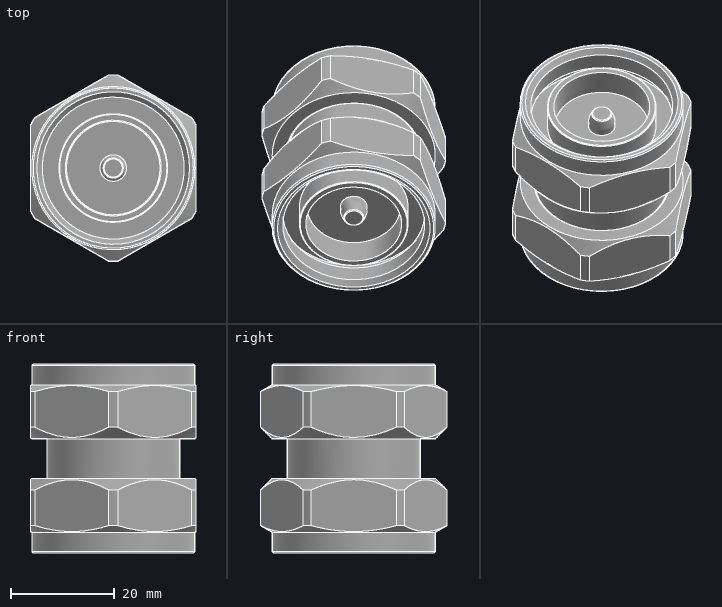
import cadquery as cq
import math

half_length = 18.25

across_flats = 32.0
corner_diameter = 36.0
collar_radius = 15.73
collar_length = 4.0
collar_chamfer = 0.3
nut_inner_z = 3.8
outer_bevel_angle = 30.0
inner_bevel_angle = 45.0

neck_radius = 12.85
countersink_size = 0.25

socket_radius = 13.7
mouth_radius = 14.7
mouth_depth = mouth_radius - socket_radius
undercut_radius = 14.7
undercut_depth = 4.55
floor_depth = 6.57

sleeve_radius = 10.48
sleeve_chamfer = 0.15
sleeve_top_depth = 1.28
sleeve_mouth_radius = 9.25
sleeve_bore_radius = 9.0
sleeve_taper_end_depth = 5.2

pin_radius = 2.55
pin_tip_radius = 1.75
pin_tip_chamfer = 0.2
pin_top_depth = 3.1
pin_nose_end_depth = 5.2
pin_nose_curve_radius = 5.1


def revolve(profile):
    """Turn a closed (radius, z) profile drawn in the XZ plane about Z."""
    return profile.close().revolve(360, (0, 0, 0), (0, 1, 0))


def make_nut():
    hex_top = half_length - collar_length
    hex_height = hex_top - nut_inner_z
    corner_radius = corner_diameter / 2
    bevel_width = corner_radius - collar_radius
    outer_bevel = bevel_width * math.tan(math.radians(outer_bevel_angle))
    inner_bevel = bevel_width * math.tan(math.radians(inner_bevel_angle))

    hexagon = (
        cq.Workplane("XY")
        .workplane(offset=nut_inner_z)
        .polygon(6, across_flats, circumscribed=True)
        .extrude(hex_height)
    )
    turned_blank = revolve(
        cq.Workplane("XZ")
        .moveTo(0, nut_inner_z)
        .lineTo(collar_radius, nut_inner_z)
        .lineTo(corner_radius, nut_inner_z + inner_bevel)
        .lineTo(corner_radius, hex_top - outer_bevel)
        .lineTo(collar_radius, hex_top)
        .lineTo(0, hex_top)
    )
    collar = (
        cq.Workplane("XY")
        .workplane(offset=nut_inner_z)
        .circle(collar_radius)
        .extrude(half_length - nut_inner_z)
        .faces(">Z")
        .chamfer(collar_chamfer)
    )
    return hexagon.intersect(turned_blank).union(collar)


def make_countersink_cut():
    """Narrow 45 degree bevel in the nut's inner face, ending at the neck surface."""
    return revolve(
        cq.Workplane("XZ")
        .moveTo(neck_radius, nut_inner_z)
        .lineTo(neck_radius + countersink_size, nut_inner_z)
        .lineTo(neck_radius, nut_inner_z + countersink_size)
    )


def make_socket_cut():
    floor_z = half_length - floor_depth
    undercut_z = half_length - undercut_depth
    return revolve(
        cq.Workplane("XZ")
        .moveTo(0, floor_z)
        .lineTo(undercut_radius, floor_z)
        .lineTo(undercut_radius, undercut_z)
        .lineTo(socket_radius, undercut_z)
        .lineTo(socket_radius, half_length - mouth_depth)
        .lineTo(mouth_radius, half_length)
        .lineTo(0, half_length)
    )


def make_sleeve():
    floor_z = half_length - floor_depth
    top_z = half_length - sleeve_top_depth
    return revolve(
        cq.Workplane("XZ")
        .moveTo(sleeve_bore_radius, floor_z)
        .lineTo(sleeve_radius, floor_z)
        .lineTo(sleeve_radius, top_z - sleeve_chamfer)
        .lineTo(sleeve_radius - sleeve_chamfer, top_z)
        .lineTo(sleeve_mouth_radius, top_z)
        .lineTo(sleeve_bore_radius, half_length - sleeve_taper_end_depth)
    )


def make_pin():
    floor_z = half_length - floor_depth
    top_z = half_length - pin_top_depth
    nose_start = (pin_radius, half_length - pin_nose_end_depth)
    nose_end = (pin_tip_radius + pin_tip_chamfer, top_z - pin_tip_chamfer)
    return revolve(
        cq.Workplane("XZ")
        .moveTo(0, floor_z)
        .lineTo(pin_radius, floor_z)
        .lineTo(*nose_start)
        .radiusArc(nose_end, -pin_nose_curve_radius)
        .lineTo(pin_tip_radius, top_z)
        .lineTo(0, top_z)
    )


nut = make_nut().cut(make_socket_cut()).cut(make_countersink_cut())
upper_end = nut.union(make_sleeve()).union(make_pin())
lower_end = upper_end.mirror("XY")
neck = (
    cq.Workplane("XY")
    .circle(neck_radius)
    .extrude(nut_inner_z + countersink_size, both=True)
)
result = neck.union(upper_end).union(lower_end)